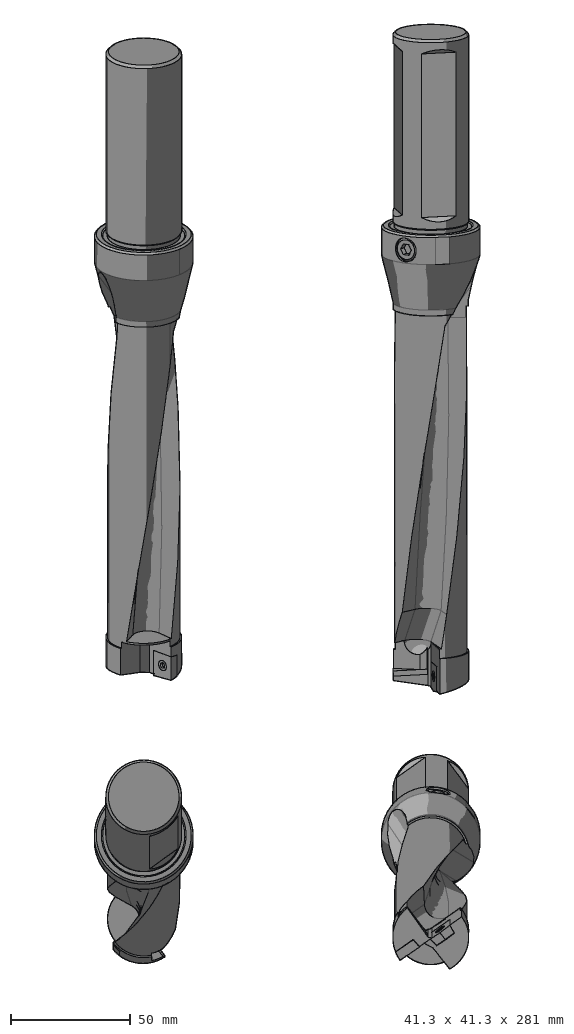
import cadquery as cq
import math


TOTAL_LENGTH = 281.0
SHANK_RADIUS = 31.7 / 2
SHANK_CHAMFER = 1.0
FLAT_DISTANCE = 14.0
FLAT_BOTTOM_Z = 203.0
FLAT_TOP_Z = 276.7
RELIEF_TOP_Z = 200.0
RELIEF_DEPTH = 0.5
RELIEF_OUTER_RADIUS = 17.7
COLLAR_RADIUS = 41.3 / 2
COLLAR_TOP_Z = 198.4
COLLAR_BOTTOM_Z = 186.0
COLLAR_CHAMFER = 0.8
MARK_FLAT_WIDTH = 6.0

CONE_BOTTOM_Z = 165.5
CONE_FOOT_RADIUS = 16.0
SHAFT_TOP_Z = 163.0
SHAFT_RADIUS = 15.2
HEAD_TOP_Z = 16.3
HEAD_RADIUS = 31.7 / 2
RIDGE_Z = 1.0
RIDGE_ANGLE = 11.0

FLUTE_ARC_RADIUS = 6.5
FLUTE_FLOOR_DISTANCE = 1.83
FLUTE_ARC_CENTRE = FLUTE_FLOOR_DISTANCE + FLUTE_ARC_RADIUS
FLANK_ANGLE = 30.0
FLUTE_REACH = 33.7
FLUTE_TWIST = 0.6051
FLUTE_TOP_Z = 158.2
FLUTE_TOP_ANGLE = 48.0
OUTER_HELIX_BOTTOM_Z = 19.7
INNER_HELIX_BOTTOM_Z = 34.8
FOOT_BEARING = 22.0
FOOT_SLOPE = 0.5
BALL_Z = 20.2
RUNOUT_ANGLE = 35.0
RUNOUT_SLOPE = 0.73
RUNOUT_TOP_Z = 193.9

OUTER_POCKET_TOP_Z = 18.8
POCKET_REACH = 22.5
OUTER_WALL_X = 1.7
OUTER_WALL_FOOT_X = 3.5
INNER_WALL_X = 0.5
INNER_WALL_BEND_Y = 4.2
INNER_WALL_SLANT = 25.0
INNER_CORNER_CHAMFER = 1.0
LEDGE_BOTTOM_Z = 6.2
LEDGE_TOP_Z = 8.1
LEDGE_WIDTH = 1.0

INSERT_WIDTH = 10.0
INSERT_THICKNESS = 4.0
INSERT_RELIEF_ANGLE = 7.0
INSERT_TOP_Z = 11.8
OUTER_INSERT_X = HEAD_RADIUS - INSERT_WIDTH
OUTER_INSERT_LOW_Z = 0.42
OUTER_INSERT_HIGH_Z = 1.0
INNER_INSERT_END_X = 0.3
INNER_INSERT_CORNER_Z = 0.8
SCREW_Z = 6.5
SCREW_HEAD_DIAMETER = 4.5
SCREW_HEAD_HEIGHT = 1.7
SCREW_THREAD_DIAMETER = 3.0
SCREW_LENGTH = 9.0
SCREW_SOCKET_DIAMETER = 2.35
SCREW_SOCKET_DEPTH = 1.0

PLUG_DIAMETER = 10.0
PLUG_CHAMFER = 0.8
PLUG_ANGLE = 135.0
PLUG_Z = 191.5
PLUG_FACE_DISTANCE = 20.0
PLUG_LENGTH = 5.5
PLUG_SOCKET_FLATS = 4.5
PLUG_SOCKET_DEPTH = 2.8

OUTER_SCREW_RADIUS = OUTER_INSERT_X + INSERT_WIDTH / 2
INNER_SCREW_RADIUS = INSERT_WIDTH / 2 - INNER_INSERT_END_X
SCREW_PLACES = [(OUTER_SCREW_RADIUS, 0), (INNER_SCREW_RADIUS, 180)]


def around_axis(shape, direction):
    return shape.rotate((0, 0, 0), (0, 0, 1), direction)


def turned_blank():
    relief_floor_radius = SHANK_RADIUS - RELIEF_DEPTH
    relief_floor_z = COLLAR_TOP_Z - RELIEF_DEPTH
    outline = [
        (0, 0),
        (HEAD_RADIUS, 0),
        (HEAD_RADIUS, HEAD_TOP_Z),
        (SHAFT_RADIUS, HEAD_TOP_Z),
        (SHAFT_RADIUS, SHAFT_TOP_Z),
        (CONE_FOOT_RADIUS, SHAFT_TOP_Z),
        (CONE_FOOT_RADIUS, CONE_BOTTOM_Z),
        (COLLAR_RADIUS, COLLAR_BOTTOM_Z),
        (COLLAR_RADIUS, COLLAR_TOP_Z - COLLAR_CHAMFER),
        (COLLAR_RADIUS - COLLAR_CHAMFER, COLLAR_TOP_Z),
        (RELIEF_OUTER_RADIUS, COLLAR_TOP_Z),
        (RELIEF_OUTER_RADIUS - RELIEF_DEPTH, relief_floor_z),
        (relief_floor_radius, relief_floor_z),
        (relief_floor_radius, RELIEF_TOP_Z - RELIEF_DEPTH),
        (SHANK_RADIUS, RELIEF_TOP_Z),
        (SHANK_RADIUS, TOTAL_LENGTH - SHANK_CHAMFER),
        (SHANK_RADIUS - SHANK_CHAMFER, TOTAL_LENGTH),
        (0, TOTAL_LENGTH),
    ]
    return cq.Workplane("XZ").polyline(outline).close().revolve(360, (0, 0), (0, 1))


def shank_flat(direction):
    """Flat with 45-degree ends, on the side of the shank at the given angle."""
    depth = COLLAR_RADIUS - FLAT_DISTANCE
    run_in = SHANK_RADIUS - FLAT_DISTANCE
    outline = [
        (FLAT_DISTANCE, FLAT_BOTTOM_Z + run_in),
        (FLAT_DISTANCE, FLAT_TOP_Z - run_in),
        (FLAT_DISTANCE + depth, FLAT_TOP_Z - run_in + depth),
        (FLAT_DISTANCE + depth, FLAT_BOTTOM_Z + run_in - depth),
    ]
    cutter = cq.Workplane("XZ").polyline(outline).close().extrude(COLLAR_RADIUS, both=True)
    return around_axis(cutter, direction)


def mark_flat():
    """Narrow flat on the -X side of the collar."""
    distance = math.sqrt(COLLAR_RADIUS**2 - (MARK_FLAT_WIDTH / 2) ** 2)
    height = COLLAR_TOP_Z - COLLAR_BOTTOM_Z
    cutter = cq.Workplane("XY").box(
        COLLAR_RADIUS, COLLAR_RADIUS, height, centered=(False, True, False)
    )
    return cutter.translate((-distance - COLLAR_RADIUS, 0, COLLAR_BOTTOM_Z))


def flute_section(z, direction):
    """Flute outline at height z: a rounded floor between two flanks opening outward."""
    flank = math.radians(FLANK_ANGLE)
    tangent_y = FLUTE_ARC_RADIUS * math.cos(flank)
    tangent_x = FLUTE_ARC_CENTRE - FLUTE_ARC_RADIUS * math.sin(flank)
    mouth_y = tangent_y + (FLUTE_REACH - tangent_x) * math.tan(flank)
    section = (
        cq.Workplane("XY", origin=(0, 0, z))
        .moveTo(FLUTE_REACH, -mouth_y)
        .lineTo(tangent_x, -tangent_y)
        .threePointArc((FLUTE_FLOOR_DISTANCE, 0), (tangent_x, tangent_y))
        .lineTo(FLUTE_REACH, mouth_y)
        .close()
    )
    return section.wire().val().rotate(cq.Vector(0, 0, 0), cq.Vector(0, 0, 1), direction)


def swept_straight(wire, travel):
    return cq.Workplane(cq.Solid.extrudeLinear(wire, [], cq.Vector(*travel)))


def flute_direction(z):
    """Direction of the outer insert's flute at height z, in degrees around the drill axis."""
    return FLUTE_TOP_ANGLE - FLUTE_TWIST * (FLUTE_TOP_Z - z)


def travel_along(bearing, slope, rise):
    """Sweep by the given rise, moving slope times that height toward the bearing."""
    outward = slope * abs(rise)
    angle = math.radians(bearing)
    return (outward * math.cos(angle), outward * math.sin(angle), rise)


def helix_and_runout(turn, bottom_z):
    """Helical flute from bottom_z up to its outward run-out through the cone."""
    height = FLUTE_TOP_Z - bottom_z
    helix = cq.Solid.extrudeLinearWithRotation(
        flute_section(bottom_z, flute_direction(bottom_z) + turn),
        [],
        cq.Vector(0, 0, bottom_z),
        cq.Vector(0, 0, height),
        FLUTE_TWIST * height,
    )
    top_angle = FLUTE_TOP_ANGLE + turn
    travel = travel_along(top_angle + RUNOUT_ANGLE, RUNOUT_SLOPE, RUNOUT_TOP_Z - FLUTE_TOP_Z)
    runout = swept_straight(flute_section(FLUTE_TOP_Z, top_angle), travel)
    return [cq.Workplane(helix), runout]


def inner_flute_foot():
    """Straight lower stretch of the inner insert's flute, deepening down to a ball end."""
    start = flute_direction(INNER_HELIX_BOTTOM_Z) + 180
    travel = travel_along(FOOT_BEARING, FOOT_SLOPE, BALL_Z - INNER_HELIX_BOTTOM_Z)
    stretch = swept_straight(flute_section(INNER_HELIX_BOTTOM_Z, start), travel)
    angle = math.radians(start)
    ball_centre = (
        FLUTE_ARC_CENTRE * math.cos(angle) + travel[0],
        FLUTE_ARC_CENTRE * math.sin(angle) + travel[1],
        BALL_Z,
    )
    half_ball = cq.Workplane("XY").sphere(FLUTE_ARC_RADIUS, angle1=-90, angle2=0).translate(ball_centre)

    trough = cq.Workplane("YZ", origin=ball_centre).circle(FLUTE_ARC_RADIUS).extrude(-FLUTE_REACH)
    return [stretch, half_ball, trough]


def pocket(outline, bottom_z, top_z):
    profile = cq.Workplane("XY", origin=(0, 0, bottom_z)).polyline(outline).close()
    return profile.extrude(top_z - bottom_z)


def head_pockets():
    """Chip space in front of each insert, open to the tip."""
    outer = [
        (OUTER_WALL_FOOT_X, 0),
        (POCKET_REACH, 0),
        (POCKET_REACH, -POCKET_REACH),
        (OUTER_WALL_X, -POCKET_REACH),
        (OUTER_WALL_X, -INSERT_THICKNESS),
    ]
    inner = [
        (INNER_WALL_X - INNER_CORNER_CHAMFER, 0),
        (INNER_WALL_X, INNER_CORNER_CHAMFER),
        (INNER_WALL_X, POCKET_REACH),
        (-POCKET_REACH, POCKET_REACH),
        (-POCKET_REACH, 0),
    ]
    slant_y = POCKET_REACH - INNER_WALL_BEND_Y
    slant_x = slant_y * math.tan(math.radians(INNER_WALL_SLANT))
    upper_wall_x = INNER_WALL_X + LEDGE_WIDTH
    slanted = [
        (upper_wall_x, INNER_WALL_BEND_Y),
        (upper_wall_x + slant_x, POCKET_REACH),
        (upper_wall_x, POCKET_REACH),
    ]
    ledge = [
        (INNER_WALL_X, LEDGE_BOTTOM_Z),
        (upper_wall_x, LEDGE_TOP_Z),
        (upper_wall_x, BALL_Z),
        (INNER_WALL_X, BALL_Z),
    ]
    ledge_plane = cq.Workplane("XZ", origin=(0, INNER_CORNER_CHAMFER, 0))
    ledge_cut = ledge_plane.polyline(ledge).close().extrude(-POCKET_REACH)
    return [
        pocket(outer, 0, OUTER_POCKET_TOP_Z),
        pocket(inner, 0, BALL_Z),
        pocket(slanted, LEDGE_TOP_Z, BALL_Z),
        ledge_cut,
    ]


def end_face_relief():
    """Material below the roof-shaped end face, whose ridge runs along X."""
    rise = POCKET_REACH * math.tan(math.radians(RIDGE_ANGLE))
    outline = [
        (-POCKET_REACH, 0),
        (POCKET_REACH, 0),
        (POCKET_REACH, RIDGE_Z + rise),
        (0, RIDGE_Z),
        (-POCKET_REACH, RIDGE_Z + rise),
    ]
    return cq.Workplane("YZ").polyline(outline).close().extrude(POCKET_REACH, both=True)


def insert_blank(outline):
    """Insert without its hole: rake face on Y = 0 facing -Y, sides relieved toward +Y."""
    profile = cq.Workplane("XZ").polyline(outline).close()
    return profile.extrude(-INSERT_THICKNESS, taper=INSERT_RELIEF_ANGLE)


def outer_insert_blank():
    return insert_blank([
        (OUTER_INSERT_X, OUTER_INSERT_LOW_Z),
        (HEAD_RADIUS, OUTER_INSERT_HIGH_Z),
        (HEAD_RADIUS, INSERT_TOP_Z),
        (OUTER_INSERT_X, INSERT_TOP_Z),
    ])


def inner_insert_blank():
    """Pointed insert that reaches the tip, turned to face +Y on the -X side."""
    half = INSERT_WIDTH / 2
    centre = INNER_SCREW_RADIUS
    blank = insert_blank([
        (centre - half, INNER_INSERT_CORNER_Z),
        (centre, 0),
        (centre + half, INNER_INSERT_CORNER_Z),
        (centre + half, INSERT_TOP_Z),
        (centre - half, INSERT_TOP_Z),
    ])
    return around_axis(blank, 180)


def screw_blank(x):
    """Insert screw without its socket: head flush with Y = 0, thread pointing toward +Y."""
    face = cq.Workplane("XZ").center(x, SCREW_Z)
    head = face.circle(SCREW_HEAD_DIAMETER / 2).extrude(-SCREW_HEAD_HEIGHT)
    thread = face.circle(SCREW_THREAD_DIAMETER / 2).extrude(-SCREW_LENGTH)
    return head.union(thread)


def insert_screw(x):
    socket = cq.Workplane("XZ").center(x, SCREW_Z).circle(SCREW_SOCKET_DIAMETER / 2)
    return screw_blank(x).cut(socket.extrude(-SCREW_SOCKET_DEPTH))


def plug_hole():
    bottom = PLUG_FACE_DISTANCE - PLUG_LENGTH
    hole = cq.Workplane("YZ", origin=(bottom, 0, PLUG_Z)).circle(PLUG_DIAMETER / 2)
    return around_axis(hole.extrude(COLLAR_RADIUS - bottom), PLUG_ANGLE)


def coolant_plug():
    """Plug with a hexagon socket, sunk in its hole in the collar."""
    bottom = PLUG_FACE_DISTANCE - PLUG_LENGTH
    plug = cq.Workplane("YZ", origin=(bottom, 0, PLUG_Z)).circle(PLUG_DIAMETER / 2)
    plug = plug.extrude(PLUG_LENGTH).faces(">X").chamfer(PLUG_CHAMFER)
    corner_diameter = PLUG_SOCKET_FLATS / math.cos(math.pi / 6)
    socket = cq.Workplane("YZ", origin=(PLUG_FACE_DISTANCE, 0, PLUG_Z)).polygon(6, corner_diameter)
    return around_axis(plug.cut(socket.extrude(-PLUG_SOCKET_DEPTH)), PLUG_ANGLE)


def drill_body(seats):
    body = turned_blank()
    cutters = [shank_flat(90), shank_flat(180), mark_flat(), plug_hole()]
    cutters += helix_and_runout(0, OUTER_HELIX_BOTTOM_Z)
    cutters += helix_and_runout(180, INNER_HELIX_BOTTOM_Z) + inner_flute_foot()
    cutters += head_pockets() + [end_face_relief()] + seats
    for cutter in cutters:
        body = body.cut(cutter)
    return body


screw_blanks = [around_axis(screw_blank(radius), turn) for radius, turn in SCREW_PLACES]
outer_screw_blank, inner_screw_blank = screw_blanks

body = drill_body([outer_insert_blank(), inner_insert_blank(), *screw_blanks])
outer_insert = outer_insert_blank().cut(outer_screw_blank)
inner_insert = inner_insert_blank().cut(inner_screw_blank)
screws = [around_axis(insert_screw(radius), turn) for radius, turn in SCREW_PLACES]
plug = coolant_plug()

result = cq.Compound.makeCompound([
    body.val(),
    outer_insert.val(),
    inner_insert.val(),
    *[screw.val() for screw in screws],
    plug.val(),
])